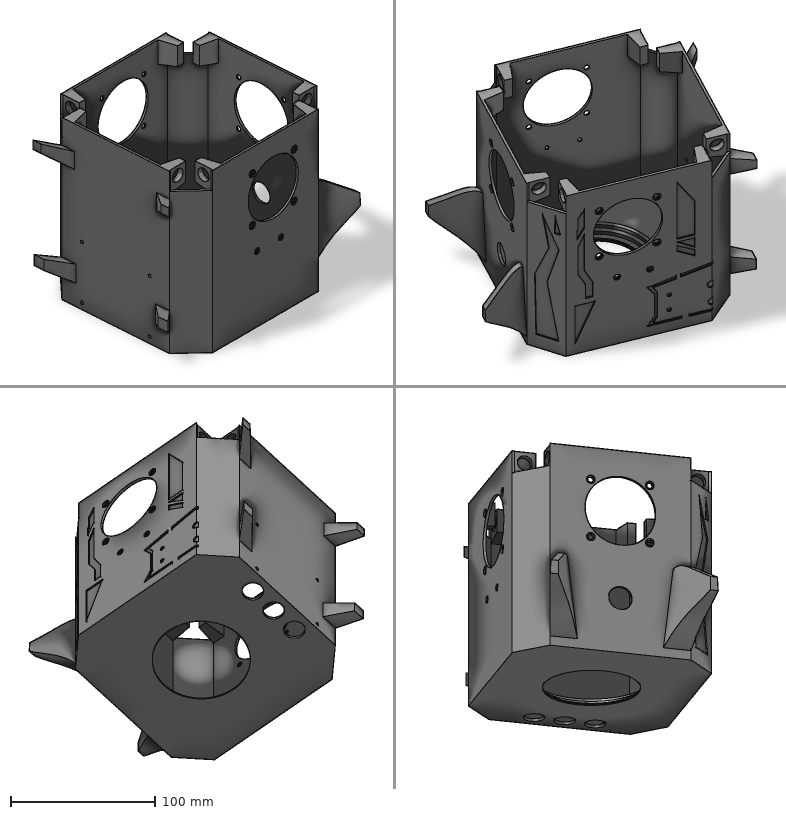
import cadquery as cq
import math

OVERALL_Y = 199.0

HOUSING_X = 144.0
HOUSING_Y = 150.0
HOUSING_Z = 150.0
WALL = 2.0
FLOOR = WALL
CORNER = 21.0
CORNER_CUT_DEPTH = 16.5
HALF_X = HOUSING_X / 2
HALF_Y = HOUSING_Y / 2
CORNER_ANGLE = math.radians(45)
MITER = WALL * math.tan(CORNER_ANGLE / 2)

TAB_TIP_HEIGHT = 17.1
TAB_BASE_HEIGHT = 20.0
TAB_REACH = 17.3
TAB_TIP_WIDTH = 6.2
TAB_BASE_WIDTH = 9.8
TAB_HOLE_DIAMETER = 10.5
TAB_HOLE_DEPTH = 5.0
TAB_HOLE_INSET = 9.4
TAB_HOLE_DROP = 8.0

FAN_DIAMETER = 51.0
SIDE_FAN_Y = 8.0
SIDE_FAN_Z = 107.0
BACK_FAN_Z = 105.3
FAN_SCREW_PITCH = 42.5
FAN_SCREW_DIAMETER = 4.0
FAN_SCREW_HEAD = 6.0
HEAD_DEPTH = WALL / 2

OPENING_Y = 3.8
OPENING_DIAMETER = 68.0
OPENING_RIM_DIAMETER = 70.0
OPENING_RIM_DEPTH = FLOOR / 2

BUTTON_COUNT = 3
BUTTON_DIAMETER = 15.0
BUTTON_PITCH = 22.0
BUTTON_Y = -62.5

PAIR_Z = 62.3
PAIR_PITCH = 24.3
PAIR_DIAMETER = 3.0
PAIR_HEAD = 5.0

CABLE_DIAMETER = 17.0
CABLE_Z = 40.5
FRONT_HOLE_DIAMETER = 2.5
FRONT_HOLE_PITCH_X = 64.0
FRONT_HOLE_PITCH_Z = 50.1
FRONT_HOLE_LOW_Z = 5.5

LEG_REACH = 15.0
LEG_ROOT_X = HALF_X - CORNER
UPPER_LEG_ROOT = (LEG_ROOT_X, 38.8, 112.5, 127.2)
UPPER_LEG_TIP = (64.5, 56.7, 124.8, 132.5)
LOWER_LEG_ROOT = (LEG_ROOT_X, 37.6, 19.3, 35.0)
LOWER_LEG_TIP = (63.3, 54.1, 29.7, 38.8)

FIN_REACH = OVERALL_Y - HOUSING_Y - LEG_REACH
FIN_SECTIONS = [
    (0, 7.0, (51.0, 31.0), 65.7, (42.8, 38.0)),
    (3.2, 11.5, (52.0, 33.2), 66.9, (44.4, 39.6)),
    (17.3, 26.5, (56.0, 42.8), 61.0, (51.3, 46.5)),
    (26.3, 33.5, (58.5, 49.2), 55.0, (56.0, 51.0)),
    (FIN_REACH, 40.0, (60.7, 55.0), 50.0, (60.0, 55.0)),
]

RECESS = 1.0
BEYOND_EDGE_Y = -56.5
FLASH_TOP = [(40.0, 133.3), (40.0, 116.2), (45.5, 106.3), (45.5, 114.6), (44.8, 115.0), (44.8, 126.0)]
FLASH_BOTTOM = [
    (40.0, 110.0), (44.8, 99.7), (44.8, 73.2), (39.2, 62.5),
    (39.2, 49.8), (33.8, 49.8), (33.8, 63.0), (40.0, 75.6),
]
TRIANGLE = [(47.0, 45.0), (32.0, 45.0), (47.0, 9.5)]
BLADE = [(-28.3, 137.0), (-41.4, 115.6), (-41.4, 84.2), (-28.3, 84.2)]
BLADE_CORNER = [(-28.3, 81.4), (-41.4, 81.4), (-41.4, 72.5)]
BLADE_STRIPE = [(-28.3, 78.0), (-41.4, 70.0), (-41.4, 64.5), (-28.3, 72.8)]
EARED_FRAME = [
    (-27.7, 50.1), (-6.2, 45.5), (-11.7, 37.6), (-11.7, 17.7), (-6.2, 9.2), (-31.6, 9.2),
    (-31.6, 11.1), (-10.7, 11.1), (-13.7, 16.3), (-13.7, 38.8), (-10.3, 44.2), (-27.7, 47.2),
]
FRAME_TOP_BAR = [(-31.0, 50.5), (BEYOND_EDGE_Y, 55.1), (BEYOND_EDGE_Y, 52.7), (-31.0, 48.0)]
FRAME_BOTTOM_BAR = [(-37.2, 11.1), (BEYOND_EDGE_Y, 11.1), (BEYOND_EDGE_Y, 9.2), (-37.2, 9.2)]
SIDE_OUTLINES = [
    FLASH_TOP, FLASH_BOTTOM, TRIANGLE, BLADE, BLADE_CORNER, BLADE_STRIPE,
    EARED_FRAME, FRAME_TOP_BAR, FRAME_BOTTOM_BAR,
]
SMALL_DOT_DIAMETER = 3.2
SMALL_DOTS = [(-22.5, 33.8), (-22.5, 19.9)]
LARGE_DOT_DIAMETER = 6.0
LARGE_DOTS = [(-53.5, 34.2), (-54.1, 18.1)]

CORNER_FLASH = [
    (3.2, 126.5), (-9.5, 97.3), (-0.5, 64.3), (-9.4, 12.0), (8.0, 12.0), (9.0, 68.0), (-1.8, 96.3),
]
CORNER_SPIKE = [(-6.5, 128.0), (-10.5, 112.8), (-10.5, 111.8), (-6.4, 111.8)]

RING_INNER_RADIUS = 39.0
RING_STEP_RADIUS = 42.4
RING_OUTER_RADIUS = 45.2
RING_HEIGHT = 6.0
RING_SEAT_HEIGHT = 3.0
RING_GAP = 25.5


def chamfered_box(size_x, size_y, corner, height):
    return cq.Workplane().rect(size_x, size_y).extrude(height).edges("|Z").chamfer(corner)


def make_shell():
    inner_corner = CORNER - WALL + MITER
    cavity = chamfered_box(HOUSING_X - 2 * WALL, HOUSING_Y - 2 * WALL, inner_corner, HOUSING_Z)
    shell = chamfered_box(HOUSING_X, HOUSING_Y, CORNER, HOUSING_Z)
    return shell.cut(cavity.translate((0, 0, FLOOR)))


def corner_cut(side_x, side_y):
    """Top part of one corner wall, mitred against its two neighbours."""
    outline = [
        (HALF_X - CORNER, HALF_Y),
        (HALF_X - CORNER - MITER, HALF_Y - WALL),
        (HALF_X - WALL, HALF_Y - CORNER - MITER),
        (HALF_X, HALF_Y - CORNER),
    ]
    points = [(side_x * x, side_y * y) for x, y in outline]
    base = cq.Workplane().workplane(offset=HOUSING_Z - CORNER_CUT_DEPTH)
    return base.polyline(points).close().extrude(CORNER_CUT_DEPTH)


def make_tab(start, along, inward):
    """Tab at one wall end, thinner and shorter at its tip, with a blind hole toward the corner.

    `start` is on the outer wall face, `along` runs along the wall away from the corner.
    """
    plan = [
        (0, 0), (0, TAB_REACH), (TAB_TIP_WIDTH, TAB_REACH), (TAB_BASE_WIDTH, WALL), (TAB_BASE_WIDTH, 0),
    ]
    profile = [
        (0, 0), (TAB_REACH, 0), (TAB_REACH, -TAB_TIP_HEIGHT), (WALL, -TAB_BASE_HEIGHT), (0, -TAB_BASE_HEIGHT),
    ]
    along = cq.Vector(*along)
    inward = cq.Vector(*inward)
    up = cq.Vector(0, 0, 1)
    top = cq.Vector(*start) + up * HOUSING_Z
    points = [(top + along * a + inward * b).toTuple()[:2] for a, b in plan]
    tab = cq.Workplane(origin=(0, 0, HOUSING_Z)).polyline(points).close().extrude(-TAB_BASE_HEIGHT)
    side_plane = cq.Workplane(cq.Plane(origin=top, xDir=inward, normal=inward.cross(up)))
    tab = tab.intersect(side_plane.polyline(profile).close().extrude(TAB_BASE_WIDTH, both=True))
    mouth = top + inward * TAB_HOLE_INSET - up * TAB_HOLE_DROP
    hole = cq.Solid.makeCylinder(TAB_HOLE_DIAMETER / 2, TAB_HOLE_DEPTH, mouth, along)
    return tab.cut(cq.Workplane(hole))


def corner_tabs(side_x, side_y):
    """The two tabs that flank one corner."""
    y_wall_tab = make_tab(
        (side_x * (HALF_X - CORNER - MITER), side_y * HALF_Y), (-side_x, 0), (0, -side_y)
    )
    x_wall_tab = make_tab(
        (side_x * HALF_X, side_y * (HALF_Y - CORNER - MITER)), (0, -side_y), (-side_x, 0)
    )
    return y_wall_tab.union(x_wall_tab)


def bore(point, inward, diameter):
    """Cutter for a plain hole through a wall, starting at its outer face."""
    return cq.Workplane(cq.Solid.makeCylinder(diameter / 2, 2 * WALL, cq.Vector(*point), cq.Vector(*inward)))


def screw_bore(point, inward, diameter, head):
    """Cutter for a hole through a wall with a counterbore in its outer face."""
    recess = cq.Solid.makeCylinder(head / 2, HEAD_DEPTH, cq.Vector(*point), cq.Vector(*inward))
    return bore(point, inward, diameter).union(cq.Workplane(recess))


def fan_cutter(centre, inward, sideways):
    """Fan opening and its four screw holes; `sideways` is the horizontal wall direction."""
    centre = cq.Vector(*centre)
    cutter = bore(centre.toTuple(), inward, FAN_DIAMETER)
    for side in (-1, 1):
        for height in (-1, 1):
            shift = cq.Vector(*sideways) * side + cq.Vector(0, 0, height)
            point = centre + shift * (FAN_SCREW_PITCH / 2)
            cutter = cutter.union(screw_bore(point.toTuple(), inward, FAN_SCREW_DIAMETER, FAN_SCREW_HEAD))
    return cutter


def cut_wall_holes(housing):
    housing = housing.cut(fan_cutter((0, HALF_Y, BACK_FAN_Z), (0, -1, 0), (1, 0, 0)))
    housing = housing.cut(bore((0, HALF_Y, CABLE_Z), (0, -1, 0), CABLE_DIAMETER))
    for side in (-1, 1):
        wall_x = side * HALF_X
        inward = (-side, 0, 0)
        housing = housing.cut(fan_cutter((wall_x, SIDE_FAN_Y, SIDE_FAN_Z), inward, (0, 1, 0)))
        for end in (-1, 1):
            pair_point = (wall_x, OPENING_Y + end * PAIR_PITCH / 2, PAIR_Z)
            housing = housing.cut(screw_bore(pair_point, inward, PAIR_DIAMETER, PAIR_HEAD))
        for row in range(2):
            z = FRONT_HOLE_LOW_Z + row * FRONT_HOLE_PITCH_Z
            front_point = (side * FRONT_HOLE_PITCH_X / 2, -HALF_Y, z)
            housing = housing.cut(bore(front_point, (0, 1, 0), FRONT_HOLE_DIAMETER))
    return housing


def cut_floor_holes(housing):
    opening = cq.Workplane().center(0, OPENING_Y).circle(OPENING_DIAMETER / 2).extrude(FLOOR)
    rim = cq.Workplane().workplane(offset=FLOOR - OPENING_RIM_DEPTH).center(0, OPENING_Y)
    rim = rim.circle(OPENING_RIM_DIAMETER / 2).extrude(OPENING_RIM_DEPTH)
    buttons = cq.Workplane().center(0, BUTTON_Y).rarray(BUTTON_PITCH, 2, BUTTON_COUNT, 1)
    buttons = buttons.circle(BUTTON_DIAMETER / 2).extrude(FLOOR)
    return housing.cut(opening).cut(rim).cut(buttons)


def make_leg(side, root, tip):
    """Straight-sided leg tapering from a rectangle on the -Y wall to a smaller one at its tip."""
    wires = []
    for y, (outer_x, inner_x, low_z, high_z) in ((-HALF_Y, root), (-HALF_Y - LEG_REACH, tip)):
        corners = [(outer_x, low_z), (inner_x, low_z), (inner_x, high_z), (outer_x, high_z)]
        wires.append(cq.Wire.makePolygon([cq.Vector(side * x, y, z) for x, z in corners], close=True))
    return cq.Workplane(cq.Solid.makeLoft(wires, True))


def make_fin(side):
    """Curved fin lofted smoothly through its four-sided sections."""
    wires = []
    for reach, low_z, low_x, high_z, high_x in FIN_SECTIONS:
        corners = [(low_x[0], low_z), (low_x[1], low_z), (high_x[1], high_z), (high_x[0], high_z)]
        points = [cq.Vector(side * x, HALF_Y + reach, z) for x, z in corners]
        wires.append(cq.Wire.makePolygon(points, close=True))
    return cq.Workplane(cq.Solid.makeLoft(wires, False))


def cut_decoration(housing):
    side_face = cq.Workplane("YZ", origin=(-HALF_X, 0, 0))
    for outline in SIDE_OUTLINES:
        housing = housing.cut(side_face.polyline(outline).close().extrude(RECESS))
    for dots, diameter in ((SMALL_DOTS, SMALL_DOT_DIAMETER), (LARGE_DOTS, LARGE_DOT_DIAMETER)):
        housing = housing.cut(side_face.pushPoints(dots).circle(diameter / 2).extrude(RECESS))

    middle = (CORNER / 2 - HALF_X, HALF_Y - CORNER / 2, 0)
    corner_face = cq.Workplane(cq.Plane(origin=middle, xDir=(1, 1, 0), normal=(1, -1, 0)))
    for outline in (CORNER_FLASH, CORNER_SPIKE):
        housing = housing.cut(corner_face.polyline(outline).close().extrude(RECESS))
    return housing


def make_housing():
    housing = make_shell()
    for side_x in (-1, 1):
        for side_y in (-1, 1):
            housing = housing.cut(corner_cut(side_x, side_y)).union(corner_tabs(side_x, side_y))
        housing = housing.union(make_leg(side_x, UPPER_LEG_ROOT, UPPER_LEG_TIP))
        housing = housing.union(make_leg(side_x, LOWER_LEG_ROOT, LOWER_LEG_TIP))
        housing = housing.union(make_fin(side_x))
    return cut_decoration(cut_floor_holes(cut_wall_holes(housing)))


def make_ring():
    """C-shaped ring with a low inner seat and a higher outer rim."""
    base = cq.Workplane(origin=(0, OPENING_Y, FLOOR))
    seat = base.circle(RING_STEP_RADIUS).circle(RING_INNER_RADIUS).extrude(RING_SEAT_HEIGHT)
    rim = base.circle(RING_OUTER_RADIUS).circle(RING_STEP_RADIUS).extrude(RING_HEIGHT)
    gap = base.center(0, RING_OUTER_RADIUS / 2).rect(RING_GAP, RING_OUTER_RADIUS).extrude(RING_HEIGHT)
    return seat.union(rim).cut(gap)


housing = make_housing()
ring = make_ring()
result = cq.Compound.makeCompound([housing.val(), ring.val()])